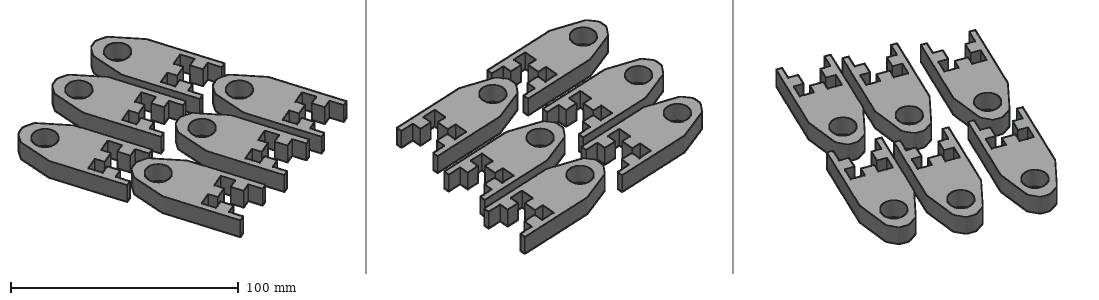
import cadquery as cq

thickness = 10.0
link_length = 57.9
half_width = 12.97
corner_radius = 3.0

tip_half_width = 2.3
cheek_x = 3.5
cheek_half_width = 7.1
shoulder_x = 20.0

hole_diameter = 12.0
hole_x = 11.9

arm_thickness = 2.9
slot_depth = 20.2
slot_x = link_length - slot_depth
tongue_length = 4.8
tongue_width = 6.5
tab_length = 6.3
tab_height = 4.8
tab_x = 47.7

total_length = 121.8
total_width = 91.0
back_y = total_width / 2 - half_width
middle_y = 2.7
front_y = half_width - total_width / 2
left_x = -total_length / 2
front_right_x = left_x + 54.9
middle_right_x = left_x + 59.8
back_left_x = left_x + 4.9
right_x = total_length / 2 - link_length
link_places = [
    (left_x, front_y),
    (front_right_x, front_y),
    (left_x, middle_y),
    (middle_right_x, middle_y),
    (back_left_x, back_y),
    (right_x, back_y),
]


def block(x_start, length, y_centre, width):
    """Full-thickness rectangular block starting at x_start."""
    return cq.Workplane("XY").box(length, width, thickness, centered=(False, True, False)).translate(
        (x_start, y_centre, 0)
    )


def link_blank():
    """Plate with a tapered nose and rounded corners along the taper."""
    outline = [
        (0, tip_half_width),
        (cheek_x, cheek_half_width),
        (shoulder_x, half_width),
        (link_length, half_width),
    ]
    mirrored = [(x, -y) for x, y in reversed(outline)]
    blank = cq.Workplane("XY").polyline(outline + mirrored).close().extrude(thickness)
    nose_edges = cq.selectors.BoxSelector((-shoulder_x, -link_length, 0), (slot_x, link_length, thickness))
    return blank.edges("|Z").edges(nose_edges).fillet(corner_radius)


def link():
    """One link: blank, slotted fork with tongue and tabs, and pivot hole."""
    arm_inner_y = half_width - arm_thickness
    body = link_blank().cut(block(slot_x, slot_depth, 0, 2 * arm_inner_y))
    body = body.union(block(slot_x, tongue_length, 0, tongue_width))
    for side in (-1, 1):
        tab_y = side * (arm_inner_y - tab_height / 2)
        body = body.union(block(tab_x - tab_length / 2, tab_length, tab_y, tab_height))
    hole = cq.Workplane("XY").center(hole_x, 0).circle(hole_diameter / 2).extrude(thickness)
    return body.cut(hole)


links = [link().translate((x, y, 0)).val() for x, y in link_places]

result = cq.Compound.makeCompound(links)